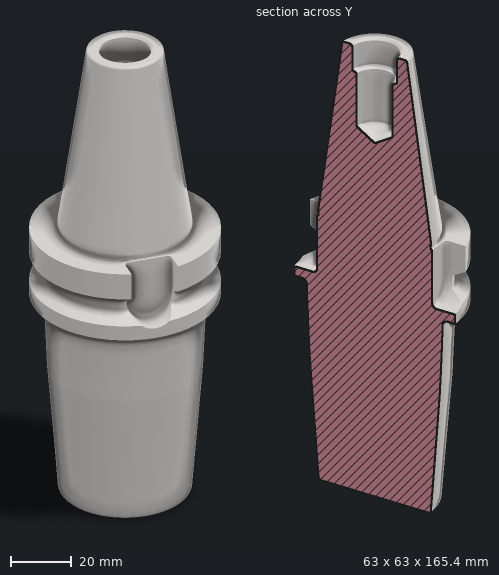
import cadquery as cq
import math


gauge_diameter = 44.45
taper_length = 65.4
taper_ratio = 7 / 24
taper_end_fillet = 1.0
collar_radius = gauge_diameter / 2

flange_diameter = 63.0
flange_top_z = -2.0
flange_bottom_z = -27.0

undercut_start_z = -0.4
undercut_radial_depth = 0.2
undercut_face_depth = 0.1
undercut_fillet = 0.6
undercut_outer_diameter = 47.0

groove_center_z = -16.6
groove_width = 10.2
groove_floor_diameter = 53.0
groove_flank_angle = 30.0
groove_floor_fillet = 1.0

slot_width = 16.1
slot_center_z = -15.3
slot_floor_x = 22.6
slot_floor_fillet = 1.6

body_diameter = 53.2
body_fillet = 2.0
body_straight_end_z = -32.2
body_break_z = -53.6
body_bottom_z = -100.0
nose_diameter = 44.0
nose_half_angle = 4.5
nose_fillet = 1.0

counterbore_diameter = 17.2
counterbore_depth = 9.5
counterbore_chamfer = 0.8
stud_hole_diameter = 13.9
stud_hole_depth = 30.0
drill_point_angle = 118.0


def revolve(section):
    """Turn a closed (radius, Z) section about the Z axis."""
    return section.close().revolve(360, (0, 0, 0), (0, 1, 0))


def make_shank():
    end_radius = (gauge_diameter - taper_length * taper_ratio) / 2
    taper_section = (
        cq.Workplane("XZ")
        .moveTo(0, 0)
        .lineTo(collar_radius, 0)
        .lineTo(end_radius, taper_length)
        .lineTo(0, taper_length)
    )
    taper = revolve(taper_section).faces(">Z").edges().fillet(taper_end_fillet)
    collar = cq.Workplane("XY").circle(collar_radius).extrude(flange_bottom_z)
    return taper.union(collar)


def make_flange():
    outer_radius = flange_diameter / 2
    flange = (
        cq.Workplane("XY", origin=(0, 0, flange_bottom_z))
        .circle(outer_radius)
        .extrude(flange_top_z - flange_bottom_z)
    )
    return flange.cut(make_v_groove())


def make_v_groove():
    outer_radius = flange_diameter / 2
    floor_radius = groove_floor_diameter / 2
    flank_height = (outer_radius - floor_radius) * math.tan(math.radians(groove_flank_angle))
    half_mouth = groove_width / 2
    half_floor = half_mouth - flank_height
    section = (
        cq.Workplane("XZ")
        .moveTo(outer_radius, groove_center_z + half_mouth)
        .lineTo(floor_radius, groove_center_z + half_floor)
        .lineTo(floor_radius, groove_center_z - half_floor)
        .lineTo(outer_radius, groove_center_z - half_mouth)
        .lineTo(flange_diameter, groove_center_z - half_mouth)
        .lineTo(flange_diameter, groove_center_z + half_mouth)
    )
    floor_edges = cq.selectors.RadiusNthSelector(0)
    return revolve(section).edges(floor_edges).fillet(groove_floor_fillet)


def make_body():
    body_radius = body_diameter / 2
    nose_radius = nose_diameter / 2
    fillet_end_z = flange_bottom_z - body_fillet
    nose_slope = math.tan(math.radians(nose_half_angle))
    break_radius = nose_radius + (body_break_z - body_bottom_z) * nose_slope
    section = (
        cq.Workplane("XZ")
        .moveTo(0, flange_bottom_z)
        .lineTo(body_radius + body_fillet, flange_bottom_z)
        .radiusArc((body_radius, fillet_end_z), -body_fillet)
        .lineTo(body_radius, body_straight_end_z)
        .lineTo(break_radius, body_break_z)
        .lineTo(nose_radius, body_bottom_z)
        .lineTo(0, body_bottom_z)
    )
    return revolve(section).faces("<Z").edges().fillet(nose_fillet)


def make_undercut():
    """Relief ring cut slightly into both the collar and the flange face."""
    outer_radius = undercut_outer_diameter / 2
    floor_radius = collar_radius - undercut_radial_depth
    floor_z = flange_top_z - undercut_face_depth
    section = (
        cq.Workplane("XZ")
        .moveTo(collar_radius, undercut_start_z)
        .lineTo(floor_radius, undercut_start_z - undercut_radial_depth)
        .lineTo(floor_radius, floor_z + undercut_fillet)
        .radiusArc((floor_radius + undercut_fillet, floor_z), -undercut_fillet)
        .lineTo(outer_radius - undercut_face_depth, floor_z)
        .lineTo(outer_radius, flange_top_z)
        .lineTo(outer_radius, undercut_start_z)
    )
    return revolve(section)


def make_drive_slot():
    """Round-ended keyway cutter on the +X side, open toward the taper."""
    half_width = slot_width / 2
    slot_depth = flange_diameter / 2 - slot_floor_x
    cutter = (
        cq.Workplane("YZ", origin=(slot_floor_x, 0, 0))
        .moveTo(-half_width, 0)
        .lineTo(-half_width, slot_center_z)
        .threePointArc((0, slot_center_z - half_width), (half_width, slot_center_z))
        .lineTo(half_width, 0)
        .close()
        .extrude(slot_depth)
    )
    return cutter.faces("<X").edges("not >Z").fillet(slot_floor_fillet)


def make_stud_hole():
    counterbore_radius = counterbore_diameter / 2
    hole_radius = stud_hole_diameter / 2
    counterbore_floor_z = taper_length - counterbore_depth
    hole_end_z = taper_length - stud_hole_depth
    drill_slope = 1 / math.tan(math.radians(drill_point_angle / 2))
    step_height = (counterbore_radius - hole_radius) * drill_slope
    drill_point_height = hole_radius * drill_slope
    section = (
        cq.Workplane("XZ")
        .moveTo(0, taper_length)
        .lineTo(counterbore_radius + counterbore_chamfer, taper_length)
        .lineTo(counterbore_radius, taper_length - counterbore_chamfer)
        .lineTo(counterbore_radius, counterbore_floor_z)
        .lineTo(hole_radius, counterbore_floor_z - step_height)
        .lineTo(hole_radius, hole_end_z)
        .lineTo(0, hole_end_z - drill_point_height)
    )
    return revolve(section)


holder = make_shank().union(make_flange()).union(make_body())
holder = holder.cut(make_undercut())
for slot_angle in (0, 180):
    holder = holder.cut(make_drive_slot().rotate((0, 0, 0), (0, 0, 1), slot_angle))
result = holder.cut(make_stud_hole())